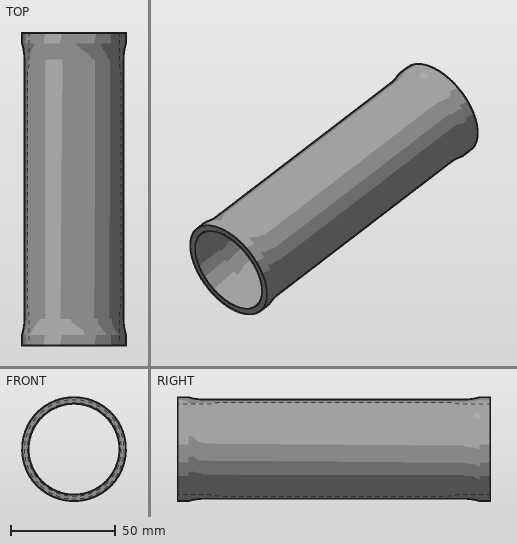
import cadquery as cq
import math

length = 150.0
collar_radius = 50.0 / 2
tube_radius = 23.8
end_bore_radius = 21.8
middle_bore_radius = 22.5

collar_width = 5.1
flare_end = 12.8
end_bore_depth = 15.3
bore_curve_end = 21.0


def arc_middle_rise(radius_rise, span):
    """Rise at half the span of an arc that starts parallel to the axis."""
    arc_radius = (span**2 + radius_rise**2) / (2 * radius_rise)
    return arc_radius - math.sqrt(arc_radius**2 - (span / 2) ** 2)


half_length = length / 2
flare_span = flare_end - collar_width
flare_middle_y = half_length - (collar_width + flare_end) / 2
flare_middle_radius = tube_radius + arc_middle_rise(collar_radius - tube_radius, flare_span)

bore_curve_span = bore_curve_end - end_bore_depth
bore_curve_middle_y = half_length - (end_bore_depth + bore_curve_end) / 2
bore_curve_middle_radius = middle_bore_radius - arc_middle_rise(
    middle_bore_radius - end_bore_radius, bore_curve_span
)

wall_section = (
    cq.Workplane("YZ")
    .moveTo(-half_length, collar_radius)
    .lineTo(-half_length + collar_width, collar_radius)
    .threePointArc(
        (-flare_middle_y, flare_middle_radius),
        (-half_length + flare_end, tube_radius),
    )
    .lineTo(half_length - flare_end, tube_radius)
    .threePointArc(
        (flare_middle_y, flare_middle_radius),
        (half_length - collar_width, collar_radius),
    )
    .lineTo(half_length, collar_radius)
    .lineTo(half_length, end_bore_radius)
    .lineTo(half_length - end_bore_depth, end_bore_radius)
    .threePointArc(
        (bore_curve_middle_y, bore_curve_middle_radius),
        (half_length - bore_curve_end, middle_bore_radius),
    )
    .lineTo(-half_length + bore_curve_end, middle_bore_radius)
    .threePointArc(
        (-bore_curve_middle_y, bore_curve_middle_radius),
        (-half_length + end_bore_depth, end_bore_radius),
    )
    .lineTo(-half_length, end_bore_radius)
    .close()
)

result = wall_section.revolve(360, (0, 0, 0), (1, 0, 0))